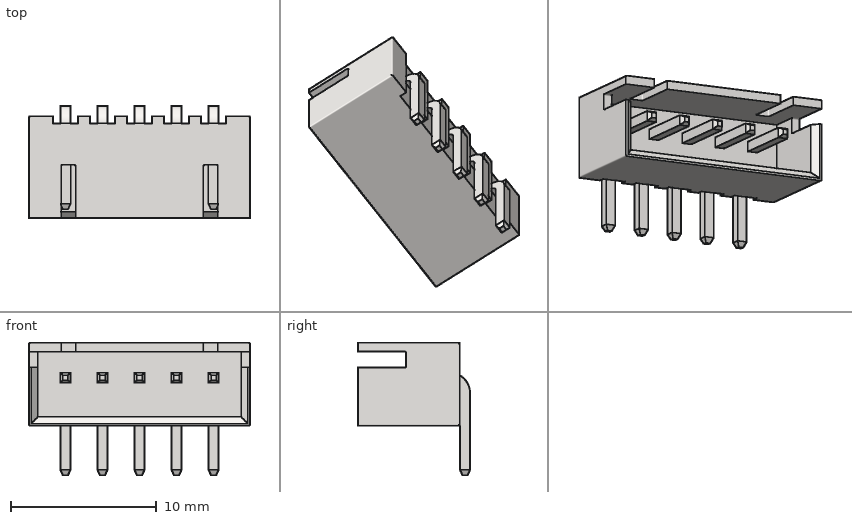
import cadquery as cq


housing_width = 15.16
housing_depth = 7.0
housing_height = 5.7
wall = 0.61
pocket_depth = 5.5
edge_radius = 0.1
mouth_bevel = 0.45

slot_corner_radius = 0.1
top_slot_width = 1.0
top_slot_length = 3.66
top_slot_offset = 4.88
side_slot_height = 1.09
side_slot_length = 3.3

pin_count = 5
pitch = 2.54
pin_size = 0.7
pin_height = 3.3
pin_tip_recess = 0.61
tip_length = 0.38
tip_size = pin_size / 2
tail_drop = 3.4
tail_setback = 0.7
bend_inner_radius = pin_size
bend_outer_radius = bend_inner_radius + pin_size

notch_width = 1.7
notch_depth = 0.5

mouth_y = -housing_depth
pocket_width = housing_width - 2 * wall
pocket_height = housing_height - 2 * wall
pin_positions = [(i - (pin_count - 1) / 2) * pitch for i in range(pin_count)]


def box(width, depth, height, x, y, z):
    """Box centred on x, with its lowest Y and Z faces at y and z."""
    return cq.Workplane("XY").box(width, depth, height, centered=(True, False, False)).translate((x, y, z))


def make_housing():
    """Outer block with rounded side edges and upright rear corners."""
    block = box(housing_width, housing_depth, housing_height, 0, mouth_y, 0)
    return block.edges("|Y or (|Z and >Y)").fillet(edge_radius)


def make_pocket():
    """Cavity with a mouth bevelled on the sides and the floor but not under the roof."""
    cavity = box(pocket_width, pocket_depth, pocket_height, 0, mouth_y, wall)
    ceiling = housing_height - wall
    flare = (
        cq.Workplane("XZ", origin=(0, mouth_y, 0))
        .polyline(mouth_outline(mouth_bevel, ceiling))
        .close()
        .workplane(offset=-mouth_bevel)
        .polyline(mouth_outline(0, ceiling))
        .close()
        .loft(ruled=True)
    )
    return cavity.union(flare)


def mouth_outline(growth, ceiling):
    """Corners of the cavity section, grown outward at the sides and the floor."""
    half_width = pocket_width / 2 + growth
    floor = wall - growth
    return [(-half_width, floor), (half_width, floor), (half_width, ceiling), (-half_width, ceiling)]


def make_top_slot(x):
    """Slot through the roof, open at the mouth and rounded at its inner corners."""
    slot = box(top_slot_width, top_slot_length, wall, x, mouth_y, housing_height - wall)
    return slot.edges("|Z and >Y").fillet(slot_corner_radius)


def make_side_slot():
    """Slot through both side walls just under the roof, open at the mouth."""
    slot_floor = housing_height - wall - side_slot_height
    slot = box(housing_width, side_slot_length, side_slot_height, 0, mouth_y, slot_floor)
    return slot.edges("|X and >Y").fillet(slot_corner_radius)


def make_notch(x):
    """Full-height notch in the back of the housing behind one pin."""
    return box(notch_width, notch_depth, housing_height, x, -notch_depth, 0)


def make_tip(base_center, direction):
    """Square tip tapering along the given direction."""
    return (
        cq.Workplane(cq.Plane(base_center, (1, 0, 0), direction))
        .rect(pin_size, pin_size)
        .workplane(offset=tip_length)
        .rect(tip_size, tip_size)
        .loft(ruled=True)
    )


def make_pin(x):
    """Bent square pin: contact toward -Y, tail downward, a taper on both ends."""
    tail_center_y = tail_setback - pin_size / 2
    bend_center_y = tail_setback - bend_outer_radius
    bend_center_z = pin_height + pin_size / 2 - bend_outer_radius
    bend_middle_radius = bend_inner_radius + pin_size / 2
    contact_end_y = mouth_y + pin_tip_recess + tip_length
    tail_end_z = tip_length - tail_drop
    path = (
        cq.Workplane("YZ", origin=(x, 0, 0))
        .moveTo(contact_end_y, pin_height)
        .lineTo(bend_center_y, pin_height)
        .radiusArc((tail_center_y, bend_center_z), bend_middle_radius)
        .lineTo(tail_center_y, tail_end_z)
    )
    shank = cq.Workplane("XZ", origin=(x, contact_end_y, pin_height)).rect(pin_size, pin_size).sweep(path)
    contact_tip = make_tip((x, contact_end_y, pin_height), (0, -1, 0))
    tail_tip = make_tip((x, tail_center_y, tail_end_z), (0, 0, -1))
    return shank.union(contact_tip).union(tail_tip)


result = make_housing().cut(make_pocket()).cut(make_side_slot())
for side in (-1, 1):
    result = result.cut(make_top_slot(side * top_slot_offset))
for pin_x in pin_positions:
    result = result.cut(make_notch(pin_x))
for pin_x in pin_positions:
    result = result.union(make_pin(pin_x))